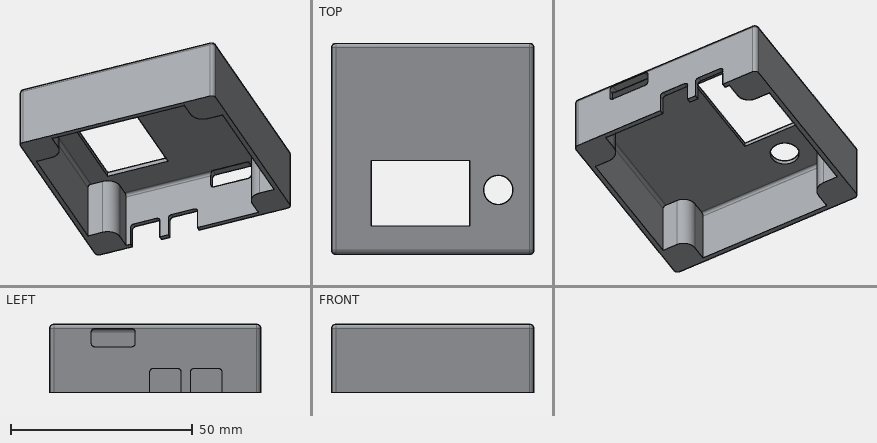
import cadquery as cq

width = 55.8
depth = 58.25
height = 18.9
wall = 1.35
outer_radius = 1.2
inner_radius = 0.9

post_size = 8.05
post_radius = 3.65

window_width = 27.1
window_depth = 18.0
window_center = (-3.4, -12.25)

button_diameter = 8.0
button_center = (18.05, -11.3)

opening_radius = 1.0
slot_width = 12.1
slot_height = 5.0
slot_center_y = 11.6
slot_top = height - outer_radius
notch_width = 8.7
notch_height = 6.7
notch_centers_y = (-2.8, -14.05)


def rounded_block(size_x, size_y, size_z, radius):
    """Block standing on Z = 0 with rounded upright and top edges."""
    block = cq.Workplane("XY").box(size_x, size_y, size_z, centered=(True, True, False))
    return block.edges("|Z or >Z").fillet(radius)


def side_opening(center_y, bottom, opening_width, opening_height):
    """Cutter through the -X wall with rounded corners."""
    cutter_length = 2 * (wall + inner_radius)
    return (
        cq.Workplane("XY")
        .box(cutter_length, opening_width, opening_height, centered=(True, True, False))
        .edges("|X")
        .fillet(opening_radius)
        .translate((-width / 2, center_y, bottom))
    )


shell = rounded_block(width, depth, height, outer_radius)
cavity = rounded_block(width - 2 * wall, depth - 2 * wall, height - wall, inner_radius)
result = shell.cut(cavity)

post = (
    cq.Workplane("XY")
    .box(post_size + wall, post_size + wall, height, centered=False)
    .edges("|Z").edges(">X and >Y")
    .fillet(post_radius)
    .translate((-width / 2, -depth / 2, 0))
)
front_posts = post.union(post.mirror("YZ"))
posts = front_posts.union(front_posts.mirror("XZ")).intersect(shell)
result = result.union(posts)

window = cq.Workplane("XY").center(*window_center).rect(window_width, window_depth).extrude(height)
button_hole = cq.Workplane("XY").center(*button_center).circle(button_diameter / 2).extrude(height)
result = result.cut(window).cut(button_hole)

result = result.cut(side_opening(slot_center_y, slot_top - slot_height, slot_width, slot_height))

for center_y in notch_centers_y:
    notch = side_opening(center_y, -notch_height, notch_width, 2 * notch_height)
    result = result.cut(notch)